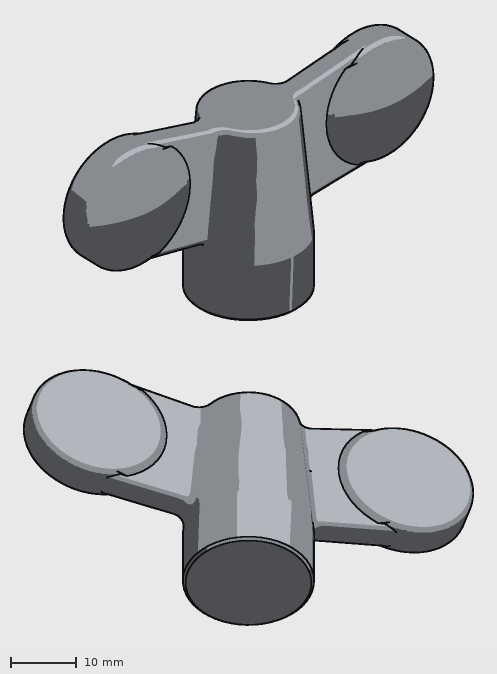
import cadquery as cq
import math

hub_radius = 10.0
hub_top_radius = 7.9
foot_height = 10.0
hub_height = 32.5
foot_chamfer = 0.4
edge_fillet = 0.9

overall_length = 70.0
overall_height = 35.5
disc_radius = 10.5
rim_half_width = 2.65
dome_half_width = 4.55
rim_fillet = 1.05
disc_y = overall_length / 2 - disc_radius
disc_z = overall_height - disc_radius

arm_width = 4.6
arm_rise = math.radians(12)
arm_bottom_rise = math.radians(8.2)
arm_bottom_outer_y = 22.95
root_fillet = 2.0

collar_width = 0.4
collar_inner_half_width = 2.8


def make_hub():
    return (
        cq.Workplane("XZ")
        .moveTo(0, 0)
        .lineTo(hub_radius - foot_chamfer, 0)
        .lineTo(hub_radius, foot_chamfer)
        .lineTo(hub_radius, foot_height)
        .lineTo(hub_top_radius, hub_height)
        .lineTo(0, hub_height)
        .close()
        .revolve(360, (0, 0), (0, 1))
    )


def arm_outline():
    """Side outline of an arm whose top edge is tangent to the disc; it starts inside the hub."""
    slope = math.tan(arm_rise)
    top_y = disc_y - disc_radius * math.sin(arm_rise)
    top_z = disc_z + disc_radius * math.cos(arm_rise)
    bottom_z = disc_z - math.sqrt(disc_radius**2 - (disc_y - arm_bottom_outer_y) ** 2)
    level_y = top_y - (top_z - hub_height) / slope
    return (
        cq.Workplane("YZ")
        .moveTo(0, hub_height)
        .lineTo(level_y, hub_height)
        .lineTo(top_y, top_z)
        .lineTo(disc_y, disc_z)
        .lineTo(arm_bottom_outer_y, bottom_z)
        .lineTo(0, bottom_z - arm_bottom_outer_y * math.tan(arm_bottom_rise))
        .close()
    )


def make_arm():
    return arm_outline().extrude(arm_width / 2, both=True)


def round_arm_bottom(arm):
    """Round the long lower edges of an arm."""
    lower_edges = cq.selectors.BoxSelector(
        (-arm_width, 0, 0),
        (arm_width, arm_bottom_outer_y - 0.7, hub_height / 2),
    )
    return arm.edges(lower_edges).fillet(edge_fillet)


def make_disc():
    """Disc lying across X with a shallow dome on both faces and a rounded rim."""
    dome_height = dome_half_width - rim_half_width
    dome_radius = (disc_radius**2 + dome_height**2) / (2 * dome_height)
    dome_center = dome_half_width - dome_radius
    mid_r = disc_radius / 2
    mid_x = dome_center + math.sqrt(dome_radius**2 - mid_r**2)
    profile = (
        cq.Workplane("XY")
        .moveTo(-dome_half_width, 0)
        .threePointArc((-mid_x, mid_r), (-rim_half_width, disc_radius))
        .lineTo(rim_half_width, disc_radius)
        .threePointArc((mid_x, mid_r), (dome_half_width, 0))
        .close()
    )
    disc = profile.revolve(360, (0, 0), (1, 0))
    return disc.faces("%CYLINDER").edges("%CIRCLE").fillet(rim_fillet).translate((0, disc_y, disc_z))


def make_collar():
    """Conical ring around the disc, kept only over the flat sides of the arm."""
    ring = (
        cq.Workplane("XY")
        .moveTo(-arm_width / 2, disc_radius - rim_fillet)
        .lineTo(-collar_inner_half_width, disc_radius - rim_fillet / 2)
        .lineTo(-arm_width / 2, disc_radius + collar_width)
        .lineTo(arm_width / 2, disc_radius + collar_width)
        .lineTo(collar_inner_half_width, disc_radius - rim_fillet / 2)
        .lineTo(arm_width / 2, disc_radius - rim_fillet)
        .close()
        .revolve(360, (0, 0), (1, 0))
        .translate((0, disc_y, disc_z))
    )
    flat_sides = arm_outline().offset2D(-edge_fillet).extrude(arm_width, both=True)
    return ring.intersect(flat_sides)


def fillet_roots(body):
    """Blend the sides and underside of both arms into the tapered hub wall."""
    for side in (-1, 1):
        wall_edges = cq.selectors.BoxSelector(
            (-arm_width, side * hub_top_radius, foot_height + 0.7),
            (arm_width, side * hub_radius, hub_height - 0.7),
        )
        body = body.edges(wall_edges).fillet(root_fillet)
    return body


def fillet_top(body):
    """Round the hub rim and the long upper arm edges as one continuous outline."""
    arm_tip = disc_y - disc_radius / 4
    top_edges = cq.selectors.BoxSelector(
        (-hub_radius, -arm_tip + 0.7, hub_height - 0.1),
        (hub_radius, arm_tip - 0.7, overall_height - 0.7),
    )
    return body.edges(top_edges).edges("not |X").fillet(edge_fillet)


arm = round_arm_bottom(make_arm())
body = make_hub().union(arm).union(arm.mirror("XZ"))
body = fillet_top(fillet_roots(body))
disc = make_disc().union(make_collar())
result = body.union(disc).union(disc.mirror("XZ"))